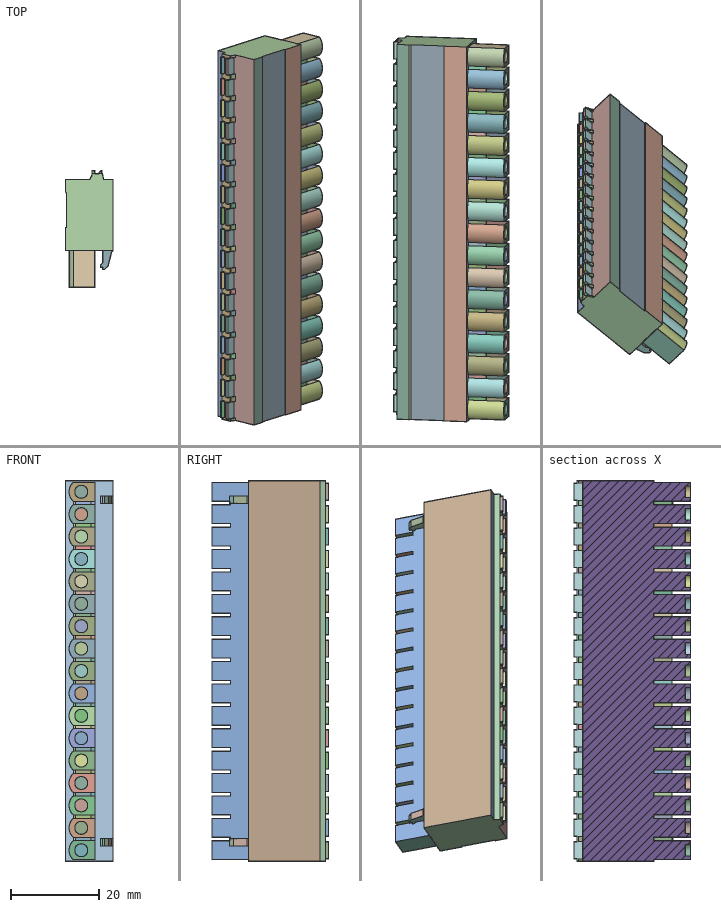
import cadquery as cq

pole_count = 17
length = 86.4
pitch = length / pole_count
first_pole_z = pitch / 2
overall_depth = 26.5

body_width = 10.9
body_front = 8.4
body_back = 24.5
recess_depth = 0.3
recess_back_slope = 0.35
recess_front = 13.65
recess_back = 21.7

plug_left = 0.9
plug_right = 6.7
plug_height = 4.3
plug_bulge = 0.95
hole_x = 3.6
hole_diameter = 2.9
hole_depth = 1.2

web_tip = 4.2
left_web_start = 1.8
left_web_end = 2.3
right_web_start = 5.8

ridge_back = 25.8
ridge_slope_end = 25.5
ridge_base_left = 5.5
ridge_base_right = 8.7
ridge_top_left = 6.05
ridge_top_right = 8.5
tab_height = 3.9
tab_thickness = 0.7
left_tab_x = ridge_top_left
right_tab_x = 7.6
tab_chamfer = 0.5

hook_width = 1.7
hook_end_distance = 3.45
hook_inner_x = 8.5
hook_neck_y = 5.6
hook_tip_y = 4.1
hook_tip_width = 0.4
barb_reach = 0.5
barb_top_y = 5.0
barb_bottom_y = 4.6
hook_bend_x = 9.8
hook_bend_y = 4.9
hook_root_x = 10.5
hook_root_y = 8.0


def extrude_outline(points, bottom, height):
    """Extrude a closed XY outline upward from the given Z."""
    return cq.Workplane("XY").workplane(offset=bottom).polyline(points).close().extrude(height)


def make_body():
    """Housing block with a shallow recess along its -X side."""
    outline = [
        (0, body_front),
        (body_width, body_front),
        (body_width, body_back),
        (0, body_back),
        (0, recess_back),
        (recess_depth, recess_back - recess_back_slope),
        (recess_depth, recess_front),
        (0, recess_front),
    ]
    return extrude_outline(outline, 0, length)


def make_ridge():
    """Ridge along the back whose left slope ends below its top in a short upright wall."""
    outline = [
        (ridge_base_left, body_back),
        (ridge_base_right, body_back),
        (ridge_top_right, ridge_back),
        (ridge_top_left, ridge_back),
        (ridge_top_left, ridge_slope_end),
    ]
    return extrude_outline(outline, 0, length)


def make_ridge_trim(z):
    """Cutter that squares off the ridge's left slope beside one pole's tabs."""
    width = left_tab_x - ridge_base_left
    depth = overall_depth - body_back
    trim = cq.Workplane("XY").box(width, depth, tab_height, centered=(False, False, True))
    return trim.translate((ridge_base_left, body_back, z))


def make_tabs(z):
    """Pair of tabs behind one pole; the right one is chamfered on its inner corner."""
    bottom = z - tab_height / 2
    left_end = left_tab_x + tab_thickness
    right_end = right_tab_x + tab_thickness
    left_outline = [
        (left_tab_x, body_back),
        (left_end, body_back),
        (left_end, overall_depth),
        (left_tab_x, overall_depth),
    ]
    right_outline = [
        (right_tab_x, body_back),
        (right_end, body_back),
        (right_end, overall_depth),
        (right_tab_x + tab_chamfer, overall_depth),
        (right_tab_x, overall_depth - tab_chamfer),
    ]
    left_tab = extrude_outline(left_outline, bottom, tab_height)
    return left_tab.union(extrude_outline(right_outline, bottom, tab_height))


def make_plug(z):
    """Sleeve with a flat right side and a bulged left side."""
    half = plug_height / 2
    shoulder = plug_left + plug_bulge
    profile = (
        cq.Workplane("XZ")
        .moveTo(plug_right, z - half)
        .lineTo(plug_right, z + half)
        .lineTo(shoulder, z + half)
        .threePointArc((plug_left, z), (shoulder, z - half))
        .close()
    )
    return profile.extrude(-body_front)


def make_hole(z):
    """Blind wire entry running in from the sleeve's tip."""
    return cq.Workplane("XZ").center(hole_x, z).circle(hole_diameter / 2).extrude(-hole_depth)


def make_web(left, right):
    """Flat web between the sleeves, spanning from the first pole to the last."""
    outline = [
        (left, web_tip),
        (right, web_tip),
        (right, body_front),
        (left, body_front),
    ]
    return extrude_outline(outline, first_pole_z, (pole_count - 1) * pitch)


def make_hook(bottom):
    """Tapered latch arm with a barbed tip pointing toward the sleeves."""
    barb_x = hook_inner_x - barb_reach
    outline = [
        (hook_inner_x, body_front),
        (hook_inner_x, hook_neck_y),
        (barb_x, barb_top_y),
        (barb_x, barb_bottom_y),
        (hook_inner_x, barb_bottom_y),
        (hook_inner_x, hook_tip_y),
        (hook_inner_x + hook_tip_width, hook_tip_y),
        (hook_bend_x, hook_bend_y),
        (hook_root_x, hook_root_y),
        (body_width, body_front),
    ]
    return extrude_outline(outline, bottom, hook_width)


pole_heights = [first_pole_z + i * pitch for i in range(pole_count)]

ridge = make_ridge()
for pole_z in pole_heights:
    ridge = ridge.cut(make_ridge_trim(pole_z))

result = make_body().union(ridge)
result = result.union(make_web(left_web_start, left_web_end))
result = result.union(make_web(right_web_start, plug_right))
for pole_z in pole_heights:
    result = result.union(make_plug(pole_z)).union(make_tabs(pole_z))
    result = result.cut(make_hole(pole_z))

for hook_bottom in (hook_end_distance, length - hook_end_distance - hook_width):
    result = result.union(make_hook(hook_bottom))